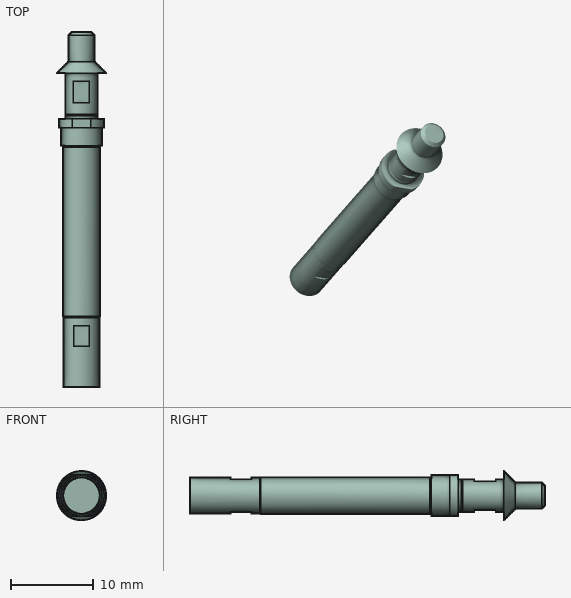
import cadquery as cq

total_length = 43.1

tip_chamfer = 0.4
flange_rear = 5.0
neck_front = 10.0
collar_front = 10.55
collar_rear = 11.6
sleeve_rear = 13.8
barrel_rear = 34.65

tip_radius = 1.6
flange_radius = 3.0
shank_radius = 2.0
collar_radius = 2.75
sleeve_radius = 2.5
barrel_radius = 2.25
tail_radius = 2.2

neck_chamfer = 0.15
barrel_front_chamfer = 0.2
barrel_rear_chamfer = barrel_radius - tail_radius
barrel_rear_chamfer_length = 0.15

shank_flat_height = 1.75
shank_flat_front = 6.0
shank_flat_length = 2.6
tail_flat_height = 2.0
tail_flat_front = 35.65
tail_flat_length = 2.5
collar_flat_height = sleeve_radius

tip_y = total_length / 2


def turned_section(front, rear, front_radius, rear_radius):
    """Cylinder or cone on the Y axis between two distances behind the tip."""
    outline = [
        (0, tip_y - front),
        (front_radius, tip_y - front),
        (rear_radius, tip_y - rear),
        (0, tip_y - rear),
    ]
    return cq.Workplane("XY").polyline(outline).close().revolve(360, (0, 0, 0), (0, 1, 0))


def flat_cutters(front, length, height):
    """Pair of blocks that leave flats at +height and -height."""
    size = 2 * flange_radius
    upper = cq.Workplane("XY").box(size, length, size, centered=(True, False, False))
    upper = upper.translate((0, tip_y - front - length, height))
    return upper.union(upper.mirror("XY"))


def make_plunger():
    cone_front = flange_rear - (flange_radius - tip_radius)
    plunger = turned_section(0, tip_chamfer, tip_radius - tip_chamfer, tip_radius)
    plunger = plunger.union(turned_section(tip_chamfer, cone_front, tip_radius, tip_radius))
    plunger = plunger.union(turned_section(cone_front, flange_rear, tip_radius, flange_radius))
    plunger = plunger.union(turned_section(flange_rear, neck_front, shank_radius, shank_radius))
    return plunger.cut(flat_cutters(shank_flat_front, shank_flat_length, shank_flat_height))


def make_collar():
    collar_length = collar_rear - collar_front
    collar = turned_section(collar_front, collar_rear, collar_radius, collar_radius)
    return collar.cut(flat_cutters(collar_front, collar_length, collar_flat_height))


def make_barrel():
    chamfer_end = neck_front + neck_chamfer
    barrel_start = sleeve_rear + barrel_front_chamfer
    barrel_end = barrel_rear - barrel_rear_chamfer_length
    barrel = turned_section(neck_front, chamfer_end, shank_radius - neck_chamfer, shank_radius)
    barrel = barrel.union(turned_section(chamfer_end, collar_front, shank_radius, shank_radius))
    barrel = barrel.union(make_collar())
    barrel = barrel.union(turned_section(collar_rear, sleeve_rear, sleeve_radius, sleeve_radius))
    barrel = barrel.union(
        turned_section(sleeve_rear, barrel_start, barrel_radius - barrel_front_chamfer, barrel_radius)
    )
    barrel = barrel.union(turned_section(barrel_start, barrel_end, barrel_radius, barrel_radius))
    return barrel.union(
        turned_section(barrel_end, barrel_rear, barrel_radius, barrel_radius - barrel_rear_chamfer)
    )


def make_tail():
    tail = turned_section(barrel_rear, total_length, tail_radius, tail_radius)
    return tail.cut(flat_cutters(tail_flat_front, tail_flat_length, tail_flat_height))


result = make_plunger().union(make_barrel()).union(make_tail())